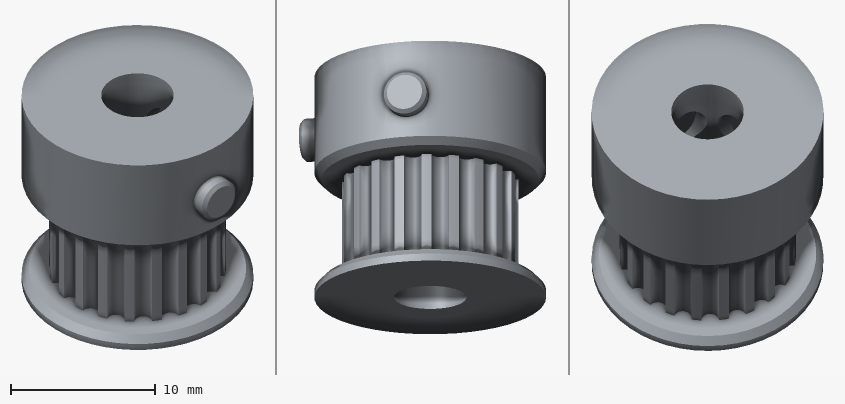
import cadquery as cq

outer_radius = 16.0 / 2
bore_radius = 5.0 / 2
rim_chamfer = 0.5

flange_height = 1.0
belt_top = 8.38
tooth_count = 20
tooth_tip_radius = 6.1
groove_radius = 0.61

total_height = 16.0
hub_gap = 0.2
hub_bottom = belt_top + hub_gap

screw_radius = 1.5
screw_chamfer = 0.25
screw_height = 12.0
screw_protrusion = 1.0
screw_recess = 0.5
screw_inner_end = bore_radius + screw_recess
screw_outer_end = outer_radius + screw_protrusion
screw_directions = [(1, 0, 0), (0, 1, 0)]


def cylinder(radius, bottom, top):
    """Cylinder on the Z axis between two heights."""
    return cq.Workplane("XY").workplane(offset=bottom).circle(radius).extrude(top - bottom)


def radial_cylinder(radius, start, end, direction):
    """Cylinder at screw height, between two distances from the Z axis."""
    axis = cq.Vector(*direction)
    base = axis * start + cq.Vector(0, 0, screw_height)
    return cq.Workplane(cq.Solid.makeCylinder(radius, end - start, base, axis))


def make_toothed_pulley():
    """Bored flange with a ring of vertical teeth on top of it."""
    flange = cylinder(outer_radius, 0, flange_height).faces(">Z").edges().chamfer(rim_chamfer)
    teeth = cylinder(tooth_tip_radius, flange_height, belt_top)
    grooves = (
        cq.Workplane("XY")
        .workplane(offset=flange_height)
        .polarArray(tooth_tip_radius, 0, 360, tooth_count)
        .circle(groove_radius)
        .extrude(belt_top - flange_height)
    )
    return flange.union(teeth.cut(grooves)).cut(cylinder(bore_radius, 0, belt_top))


def make_hub():
    """Bored hub with its two set screws, chamfered at both ends, fixed in radial holes."""
    hub = cylinder(outer_radius, hub_bottom, total_height).faces("<Z").edges().chamfer(rim_chamfer)
    hub = hub.cut(cylinder(bore_radius, hub_bottom, total_height))
    for direction in screw_directions:
        hole = radial_cylinder(screw_radius, 0, outer_radius, direction)
        screw = radial_cylinder(screw_radius, screw_inner_end, screw_outer_end, direction)
        screw = screw.edges("%CIRCLE").chamfer(screw_chamfer)
        hub = hub.cut(hole).union(screw)
    return hub


toothed_pulley = make_toothed_pulley()
hub = make_hub()

result = cq.Compound.makeCompound([toothed_pulley.solids().val(), hub.solids().val()])